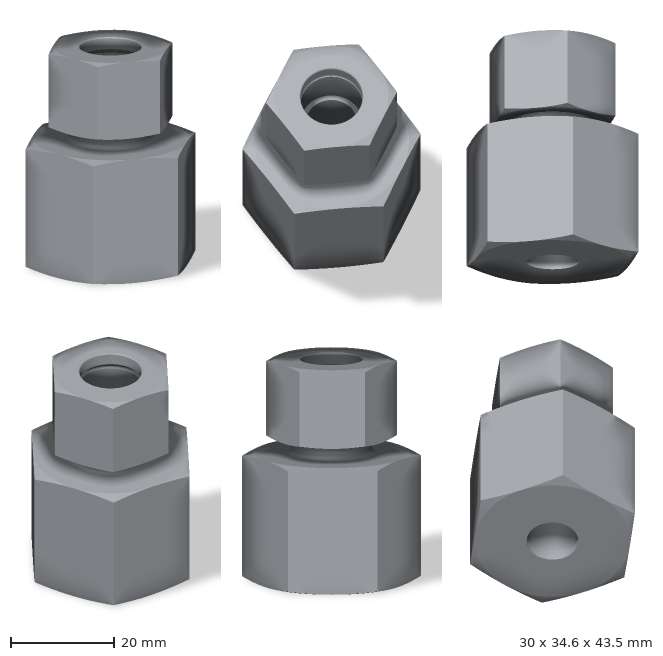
import cadquery as cq
import math

TOTAL_HEIGHT = 43.5
BODY_HEX_TOP = 25.0
NUT_HEIGHT = 15.55
NUT_BOTTOM = TOTAL_HEIGHT - NUT_HEIGHT

BODY_ACROSS_FLATS = 30.0
NUT_ACROSS_FLATS = 22.0
HEX_CHAMFER_ANGLE = math.radians(15)

TUBE_RADIUS = 12.0 / 2
FLOW_RADIUS = 10.0 / 2
TUBE_STOP_HEIGHT = 32.2
MOUTH_CHAMFER = 0.17

NECK_RADIUS = 15.7 / 2
NECK_FILLET = 1.0
UPPER_FLARE_START = NUT_BOTTOM - 0.6
THREAD_RADIUS = 16.0 / 2
FILLET_OUTER_RADIUS = NECK_RADIUS + NECK_FILLET

SEAT_CONE_TOP = TOTAL_HEIGHT - 2.4
RING_TOP = TOTAL_HEIGHT - 3.35
RING_TOP_RADIUS = TUBE_RADIUS + SEAT_CONE_TOP - RING_TOP
RING_COLLAR_RADIUS = THREAD_RADIUS
SEAT_CONE_BOTTOM = SEAT_CONE_TOP - (RING_COLLAR_RADIUS - TUBE_RADIUS)
BODY_TOP = TOTAL_HEIGHT - 5.2
SOCKET_MOUTH_RADIUS = 14.3 / 2
SOCKET_HALF_ANGLE = math.radians(12)
RING_BOTTOM = BODY_TOP - 3.9
RING_TIP_RADIUS = SOCKET_MOUTH_RADIUS - (BODY_TOP - RING_BOTTOM) * math.tan(SOCKET_HALF_ANGLE)


def revolve_profile(profile):
    """Close a profile of (radius, height) points and turn it about the Z axis."""
    return profile.close().revolve(360, (0, 0, 0), (0, 1, 0))


def hex_block(across_flats, bottom, top):
    """Hexagonal prism with corners on the Y axis and conical chamfers at both ends."""
    face_radius = across_flats / 2
    corner_radius = face_radius / math.cos(math.pi / 6)
    corner_drop = (corner_radius - face_radius) * math.tan(HEX_CHAMFER_ANGLE)
    prism = (
        cq.Workplane("XY", origin=(0, 0, bottom))
        .transformed(rotate=(0, 0, 90))
        .polygon(6, 2 * corner_radius)
        .extrude(top - bottom)
    )
    envelope = revolve_profile(
        cq.Workplane("XZ").polyline([
            (0, bottom),
            (face_radius, bottom),
            (corner_radius, bottom + corner_drop),
            (corner_radius, top - corner_drop),
            (face_radius, top),
            (0, top),
        ])
    )
    return prism.intersect(envelope)


def make_body():
    """Hexagonal body with a filleted neck, a thread and a conical ring socket."""
    arc_offset = NECK_FILLET * (1 - math.sqrt(0.5))
    lower_fillet_end = BODY_HEX_TOP + NECK_FILLET
    flare_angle = math.acos(1 - (THREAD_RADIUS - NECK_RADIUS) / NECK_FILLET)
    flare_middle = (
        NECK_RADIUS + NECK_FILLET * (1 - math.cos(flare_angle / 2)),
        UPPER_FLARE_START + NECK_FILLET * math.sin(flare_angle / 2),
    )
    flare_end = (THREAD_RADIUS, UPPER_FLARE_START + NECK_FILLET * math.sin(flare_angle))
    neck = revolve_profile(
        cq.Workplane("XZ")
        .moveTo(0, BODY_HEX_TOP)
        .lineTo(FILLET_OUTER_RADIUS, BODY_HEX_TOP)
        .threePointArc(
            (NECK_RADIUS + arc_offset, BODY_HEX_TOP + arc_offset),
            (NECK_RADIUS, lower_fillet_end),
        )
        .lineTo(NECK_RADIUS, UPPER_FLARE_START)
        .threePointArc(flare_middle, flare_end)
        .lineTo(THREAD_RADIUS, BODY_TOP)
        .lineTo(0, BODY_TOP)
    )
    bore = revolve_profile(
        cq.Workplane("XZ").polyline([
            (0, 0),
            (FLOW_RADIUS, 0),
            (FLOW_RADIUS, TUBE_STOP_HEIGHT),
            (TUBE_RADIUS, TUBE_STOP_HEIGHT),
            (TUBE_RADIUS, RING_BOTTOM),
            (RING_TIP_RADIUS, RING_BOTTOM),
            (SOCKET_MOUTH_RADIUS, BODY_TOP),
            (0, BODY_TOP),
        ])
    )
    return hex_block(BODY_ACROSS_FLATS, 0, BODY_HEX_TOP).union(neck).cut(bore)


def make_nut():
    """Hexagonal nut with a thread bore, a 45 degree ring seat and a tube hole."""
    cavity = revolve_profile(
        cq.Workplane("XZ").polyline([
            (0, NUT_BOTTOM),
            (THREAD_RADIUS, NUT_BOTTOM),
            (THREAD_RADIUS, SEAT_CONE_BOTTOM),
            (TUBE_RADIUS, SEAT_CONE_TOP),
            (TUBE_RADIUS, TOTAL_HEIGHT - MOUTH_CHAMFER),
            (TUBE_RADIUS + MOUTH_CHAMFER, TOTAL_HEIGHT),
            (0, TOTAL_HEIGHT),
        ])
    )
    return hex_block(NUT_ACROSS_FLATS, NUT_BOTTOM, TOTAL_HEIGHT).cut(cavity)


def make_cutting_ring():
    """Ring held between the nut seat and the socket in the body."""
    return revolve_profile(
        cq.Workplane("XZ").polyline([
            (TUBE_RADIUS, RING_BOTTOM),
            (RING_TIP_RADIUS, RING_BOTTOM),
            (SOCKET_MOUTH_RADIUS, BODY_TOP),
            (RING_COLLAR_RADIUS, BODY_TOP),
            (RING_COLLAR_RADIUS, SEAT_CONE_BOTTOM),
            (RING_TOP_RADIUS, RING_TOP),
            (TUBE_RADIUS, RING_TOP),
        ])
    )


body = make_body()
nut = make_nut()
cutting_ring = make_cutting_ring()

result = cq.Compound.makeCompound([body.solids().val(), nut.solids().val(), cutting_ring.val()])